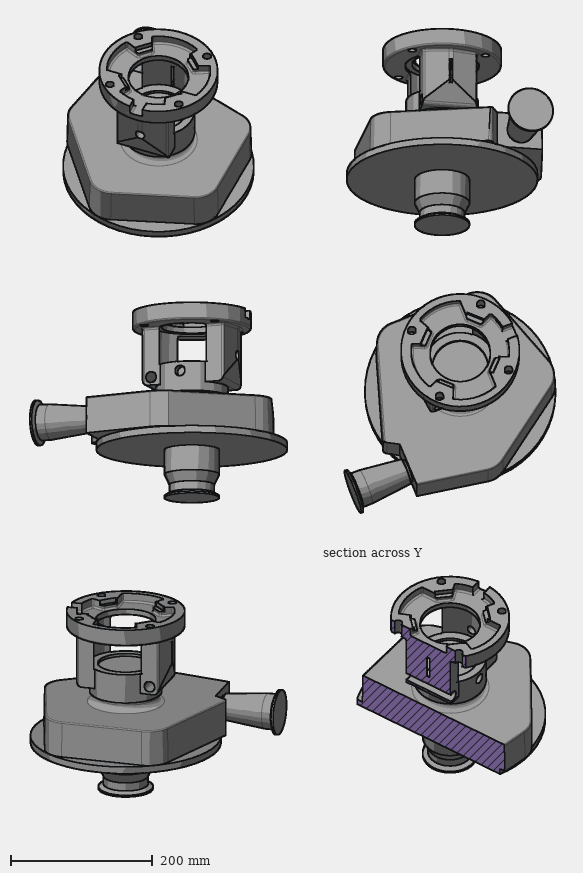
import cadquery as cq
import math


inlet_radius = 38.8
inlet_neck_radius = 31.8
inlet_ferrule_radius = 38.8
inlet_rim_height = 2.7
inlet_ferrule_height = 6.7
inlet_neck_top_z = 18.7
inlet_cone_top_z = 33.5

plate_radius = 134.8
plate_bottom_z = 69.0
plate_top_z = 79.0
casing_top_z = 130.8
casing_apothem = 115.0
casing_corner_radius = 33.5
casing_draft = 1.2
casing_edge_radius = 1.7
outlet_face_y = 115.0
outlet_face_left_x = -122.8
outlet_face_right_x = -57.5
shoulder_angle = 60.0
shoulder_radius = 6.7

outlet_x = -90.3
outlet_z = 104.0
outlet_end_y = 334.5 - plate_radius
outlet_neck_radius = 16.0
outlet_small_radius = 18.7
outlet_large_radius = 25.5
outlet_ferrule_radius = 32.0
outlet_cone_start_y = 118.8
outlet_cone_end_y = 180.0
outlet_rim_length = 3.0
outlet_ferrule_length = 6.0

neck_radius = 45.0
neck_fillet = 9.5
collar_radius = 51.2
collar_bottom_z = 145.2
collar_top_z = 187.5
collar_bore_radius = 39.5
collar_bore_floor_z = 183.3
collar_hole_radius = 7.5
collar_hole_depth = 11.7
collar_hole_z = 174.0

leg_half_width = 38.8
leg_corner_y = 60.5
leg_ridge_y = 69.0
leg_ridge_half_width = 3.0
leg_bottom_z = 158.2
leg_corner_radius = 3.5
leg_bore_radius = 52.2
leg_bore_top_z = 244.5
leg_slope_angle = 16.0
leg_slope_top_z = 194.0
leg_toe_radius = 7.5
leg_top_fillet = 3.5
ridge_hole_radius = 6.7
ridge_hole_z = 200.0
rear_slot_width = 4.0
rear_slot_bottom_z = 190.7
rear_slot_top_z = 225.8
cross_hole_radius = 7.7
cross_hole_y = 47.5
cross_hole_z = 169.5

flange_radius = 83.5
flange_bottom_z = 241.5
flange_top_z = 265.5
flange_edge_radius = 2.7
flange_bore_radius = 42.5
bolt_hole_radius = 5.7
bolt_offset = 52.5
pocket_depth = 12.7
pocket_end_radius = 69.2
pocket_side_radius = 73.3
pocket_fillet = 2.7
lobe_tip_near = 26.8
lobe_tip_far = 42.0
lobe_flank_y = -27.0
ledge_depth = 6.7
ledge_distance = 55.5
ledge_length = 25.5
key_slot_width = 19.5
key_slot_fillet = 2.7


def polar(radius, angle):
    """Point at the given radius and angle in degrees."""
    return (radius * math.cos(math.radians(angle)), radius * math.sin(math.radians(angle)))


def cylinder(radius, bottom_z, top_z):
    return cq.Workplane("XY").workplane(offset=bottom_z).circle(radius).extrude(top_z - bottom_z)


def make_inlet():
    profile = [
        (0, 0),
        (inlet_ferrule_radius, 0),
        (inlet_ferrule_radius, inlet_rim_height),
        (inlet_neck_radius, inlet_ferrule_height),
        (inlet_neck_radius, inlet_neck_top_z),
        (inlet_radius, inlet_cone_top_z),
        (inlet_radius, plate_bottom_z),
        (0, plate_bottom_z),
    ]
    return cq.Workplane("XZ").polyline(profile).close().revolve(360, (0, 0), (0, 1))


def make_casing():
    """Drafted pentagon with one side leaning out to the outlet corner, trimmed at the outlet."""
    corner_distance = casing_apothem / math.cos(math.radians(36))
    left, lower, lower_right, upper_right = [polar(corner_distance, a) for a in (180, 252, 324, 36)]

    side_slope = -math.tan(math.radians(18))
    outlet_lean = (outlet_face_left_x - left[0]) / outlet_face_y
    upper_side_at_axis = upper_right[1] - side_slope * upper_right[0]
    tip_y = (upper_side_at_axis + side_slope * left[0]) / (1 - side_slope * outlet_lean)
    tip = (left[0] + outlet_lean * tip_y, tip_y)

    height = casing_top_z - plate_top_z
    foot = cq.Workplane("XY").workplane(offset=plate_top_z)
    outline = [left, lower, lower_right, upper_right, tip]
    casing = foot.polyline(outline).close().extrude(height, taper=casing_draft)

    def upright_edge(point):
        return cq.selectors.NearestToPointSelector((point[0], point[1], plate_top_z + height / 2))

    for corner in (left, lower, lower_right, upper_right):
        casing = casing.edges("not #Z").edges(upright_edge(corner)).fillet(casing_corner_radius)
    casing = casing.faces(">Z").edges().fillet(casing_edge_radius)

    shoulder_slope = math.tan(math.radians(shoulder_angle))
    side_y = upper_side_at_axis + side_slope * outlet_face_right_x
    shoulder_run = (side_y - outlet_face_y) / (shoulder_slope - side_slope)
    shoulder = (outlet_face_right_x + shoulder_run, outlet_face_y + shoulder_slope * shoulder_run)
    outlet_face = [(outlet_face_right_x, outlet_face_y), (outlet_face_left_x, outlet_face_y)]
    trimmed_outline = [left, lower, lower_right, upper_right, shoulder] + outlet_face
    trim = foot.polyline(trimmed_outline).close().extrude(height)
    trim = trim.edges("|Z").edges(upright_edge(shoulder)).fillet(shoulder_radius)
    return casing.intersect(trim)


def make_outlet():
    profile = [
        (0, outlet_face_y - 2 * outlet_neck_radius),
        (outlet_neck_radius, outlet_face_y - 2 * outlet_neck_radius),
        (outlet_neck_radius, outlet_cone_start_y),
        (outlet_small_radius, outlet_cone_start_y),
        (outlet_large_radius, outlet_cone_end_y),
        (outlet_large_radius, outlet_end_y - outlet_ferrule_length),
        (outlet_ferrule_radius, outlet_end_y - outlet_rim_length),
        (outlet_ferrule_radius, outlet_end_y),
        (0, outlet_end_y),
    ]
    pipe = cq.Workplane("XY").polyline(profile).close().revolve(360, (0, 0), (0, 1))
    return pipe.translate((outlet_x, 0, outlet_z))


def make_collar():
    """Neck flaring into the casing top, with the bored collar above it."""
    flare_radius = neck_radius + neck_fillet
    flare_top_z = casing_top_z + neck_fillet
    arc_inset = neck_fillet * (1 - math.cos(math.radians(45)))
    collar = (
        cq.Workplane("XZ")
        .moveTo(0, casing_top_z)
        .lineTo(flare_radius, casing_top_z)
        .threePointArc((neck_radius + arc_inset, casing_top_z + arc_inset), (neck_radius, flare_top_z))
        .lineTo(neck_radius, collar_bottom_z)
        .lineTo(collar_radius, collar_bottom_z)
        .lineTo(collar_radius, collar_top_z)
        .lineTo(0, collar_top_z)
        .close()
        .revolve(360, (0, 0), (0, 1))
    )
    collar = collar.cut(cylinder(collar_bore_radius, collar_bore_floor_z, collar_top_z))
    side_hole = (
        cq.Workplane("YZ")
        .workplane(offset=-collar_radius)
        .center(0, collar_hole_z)
        .circle(collar_hole_radius)
        .extrude(collar_hole_depth)
    )
    return collar.cut(side_hole)


def make_front_leg_blank():
    """Solid front half of the legs: a shallow V face, sloped and rounded at its lower end."""
    plan = [
        (-leg_half_width, 0),
        (-leg_half_width, -leg_corner_y),
        (-leg_ridge_half_width, -leg_ridge_y),
        (leg_ridge_half_width, -leg_ridge_y),
        (leg_half_width, -leg_corner_y),
        (leg_half_width, 0),
    ]
    height = flange_bottom_z - leg_bottom_z
    leg = cq.Workplane("XY").workplane(offset=leg_bottom_z).polyline(plan).close().extrude(height)
    for side in (-1, 1):
        corner = cq.selectors.NearestToPointSelector(
            (side * leg_half_width, -leg_corner_y, leg_bottom_z + height / 2)
        )
        leg = leg.edges("|Z").edges(corner).fillet(leg_corner_radius)

    slope_drop = leg_slope_top_z - leg_bottom_z
    toe_y = leg_ridge_y - slope_drop * math.tan(math.radians(leg_slope_angle))
    side_outline = [
        (0, leg_bottom_z),
        (-toe_y, leg_bottom_z),
        (-leg_ridge_y, leg_slope_top_z),
        (-leg_ridge_y, flange_bottom_z),
        (0, flange_bottom_z),
    ]
    side_shape = cq.Workplane("YZ").polyline(side_outline).close().extrude(leg_half_width, both=True)
    toe = cq.selectors.NearestToPointSelector((0, -toe_y, leg_bottom_z))
    return leg.intersect(side_shape.edges("|X").edges(toe).fillet(leg_toe_radius))


def make_pocket():
    """Recess in the flange top with four lobes standing between its lobed bays."""
    upper_end = polar(pocket_end_radius, 60)
    upper_side = polar(pocket_side_radius, 30)
    lower_side_x = math.sqrt(pocket_side_radius**2 - lobe_flank_y**2)
    pocket = (
        cq.Workplane("XY")
        .workplane(offset=flange_top_z - pocket_depth)
        .moveTo(0, pocket_end_radius)
        .threePointArc(polar(pocket_end_radius, 75), upper_end)
        .lineTo(lobe_tip_near, lobe_tip_far)
        .lineTo(lobe_tip_far, lobe_tip_near)
        .lineTo(*upper_side)
        .threePointArc((pocket_side_radius, 0), (lower_side_x, lobe_flank_y))
        .lineTo(lobe_tip_far, lobe_flank_y)
        .lineTo(lobe_tip_near, -lobe_tip_far)
        .lineTo(*polar(pocket_end_radius, -60))
        .threePointArc(polar(pocket_end_radius, -75), (0, -pocket_end_radius))
        .mirrorY()
        .extrude(pocket_depth)
    )
    return pocket.edges("|Z").fillet(pocket_fillet).faces("<Z").edges().fillet(pocket_fillet)


def make_flange():
    flange = cylinder(flange_radius, flange_bottom_z, flange_top_z)
    flange = flange.faces("<Z").edges().fillet(flange_edge_radius)
    flange = flange.cut(make_pocket())

    for angle in (45, 135, 225, 315):
        ledge = (
            cq.Workplane("XY")
            .box(ledge_distance, ledge_length, ledge_depth, centered=(False, True, False))
            .translate((0, 0, flange_top_z - ledge_depth))
            .rotate((0, 0, 0), (0, 0, 1), angle)
        )
        flange = flange.cut(ledge)

    key_slot = (
        cq.Workplane("XY")
        .box(key_slot_width, flange_radius, pocket_depth, centered=(True, False, False))
        .edges("|Y and <Z")
        .fillet(key_slot_fillet)
        .translate((0, -flange_radius, flange_top_z - pocket_depth))
    )
    bolt_holes = (
        cq.Workplane("XY")
        .workplane(offset=flange_bottom_z)
        .rect(2 * bolt_offset, 2 * bolt_offset, forConstruction=True)
        .vertices()
        .circle(bolt_hole_radius)
        .extrude(flange_top_z - flange_bottom_z)
    )
    return flange.cut(key_slot).cut(bolt_holes)


def make_bracket():
    """Flange on two legs, with the joint rounded before the inside is bored away."""
    front_blank = make_front_leg_blank()
    blank = front_blank.union(front_blank.mirror("XZ"))
    bracket = make_flange().union(blank)
    joint_edges = cq.selectors.BoxSelector(
        (-leg_half_width - leg_top_fillet, -flange_radius, flange_bottom_z - leg_top_fillet / 2),
        (leg_half_width + leg_top_fillet, flange_radius, flange_bottom_z + leg_top_fillet / 2),
    )
    bracket = bracket.edges(joint_edges).fillet(leg_top_fillet)
    bracket = bracket.cut(cylinder(collar_radius, leg_bottom_z, collar_top_z))
    bracket = bracket.cut(cylinder(leg_bore_radius, collar_top_z, leg_bore_top_z))
    return bracket.cut(cylinder(flange_bore_radius, flange_bottom_z, flange_top_z))


def make_leg_openings():
    """Front ridge hole, rear slot and the cross hole through the rear leg."""
    ridge_hole = cq.Workplane("XZ").center(0, ridge_hole_z).circle(ridge_hole_radius).extrude(leg_ridge_y)
    slot_height = rear_slot_top_z - rear_slot_bottom_z
    rear_slot = (
        cq.Workplane("XY")
        .box(rear_slot_width, leg_ridge_y, slot_height, centered=(True, False, False))
        .translate((0, 0, rear_slot_bottom_z))
    )
    cross_hole = (
        cq.Workplane("YZ")
        .center(cross_hole_y, cross_hole_z)
        .circle(cross_hole_radius)
        .extrude(leg_half_width, both=True)
    )
    return ridge_hole.union(rear_slot).union(cross_hole)


result = (
    cylinder(plate_radius, plate_bottom_z, plate_top_z)
    .union(make_inlet())
    .union(make_casing())
    .union(make_outlet())
    .union(make_collar())
    .union(make_bracket())
    .cut(make_leg_openings())
)